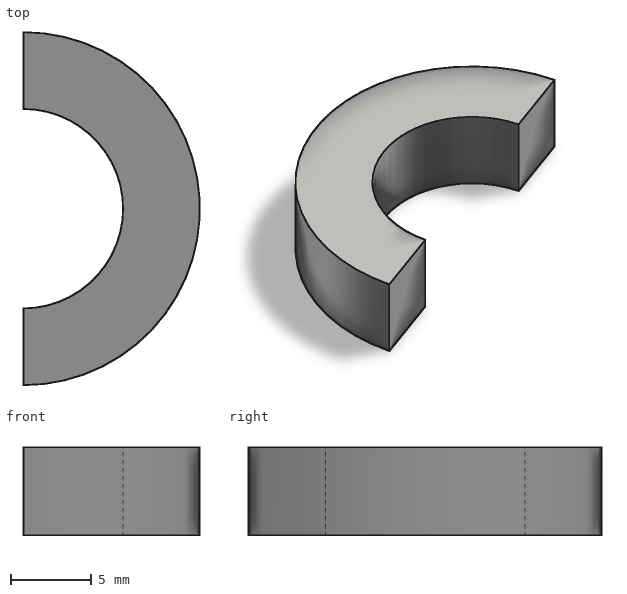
import cadquery as cq

outer_diameter = 22.0
inner_diameter = 12.4
height = 5.5

outer_radius = outer_diameter / 2
inner_radius = inner_diameter / 2

result = (
    cq.Workplane("XY")
    .moveTo(0, -outer_radius)
    .threePointArc((outer_radius, 0), (0, outer_radius))
    .lineTo(0, inner_radius)
    .threePointArc((inner_radius, 0), (0, -inner_radius))
    .close()
    .extrude(height)
)